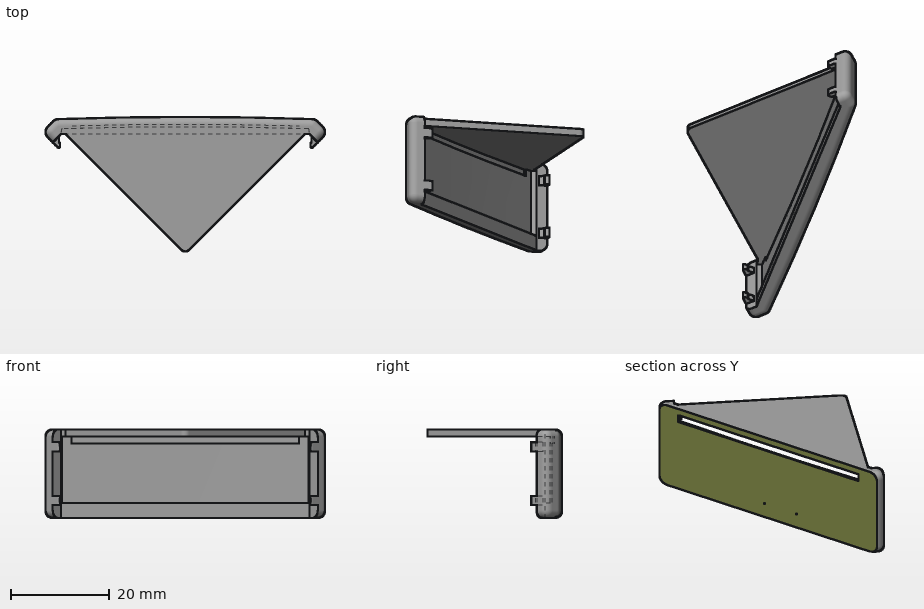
import cadquery as cq
import math

COS45 = math.sqrt(0.5)
SHARP_TIP_FACTOR = math.sqrt(2) - 1

TOTAL_WIDTH = 56.79
TOTAL_DEPTH = 27.37
HEIGHT = 18.0
EDGE_RADIUS = 1.5

BOW_RADIUS = 740.0
WALL_DEPTH = 3.53

WING_CORNER_X = TOTAL_WIDTH / 2 + EDGE_RADIUS * SHARP_TIP_FACTOR
WING_CORNER_Y = -3.09
WING_LENGTH = 2.99
WING_FACE_WIDTH = 2.36
WING_END_X = WING_CORNER_X - WING_LENGTH * COS45
WING_END_Y = WING_CORNER_Y - WING_LENGTH * COS45
WING_INNER_X = WING_END_X - WING_FACE_WIDTH * COS45

PLATE_THICKNESS = 1.5
PLATE_TIP_RADIUS = 1.1
PLATE_OVERLAP = 1.0

POCKET_BOTTOM = 3.0
POCKET_TOP = HEIGHT - PLATE_THICKNESS
POCKET_FLOOR_DEPTH = 2.0
POCKET_MOUTH_HALF_WIDTH = 25.25
POCKET_FLOOR_HALF_WIDTH = 25.05

GROOVE_HALF_WIDTH = 23.05
GROOVE_HEIGHT = 1.4
GROOVE_FLOOR_DEPTH = 1.5

HOOK_HEIGHT = 1.9
HOOK_SPACING = 10.9
HOOK_ROOT_X = 25.63
HOOK_BARB_X = 25.42
HOOK_BARB_START_Y = -5.1
HOOK_BARB_END_Y = -5.4
HOOK_TIP_RADIUS = 0.28
HOOK_OVERLAP = 0.3


def bow_y(x, depth=0.0):
    """Y at `x` of the bowed surface lying `depth` behind the outer face."""
    return math.sqrt((BOW_RADIUS - depth) ** 2 - x**2) - BOW_RADIUS


def bow_end():
    """Sharp corner (x, y) where the bowed face meets the wing's 45 degree outer face."""
    line_offset = BOW_RADIUS + WING_CORNER_X + WING_CORNER_Y
    x = (line_offset - math.sqrt(2 * BOW_RADIUS**2 - line_offset**2)) / 2
    return x, bow_y(x)


def round_outer_edges(body, end_x, end_y):
    """Round the upright outer corners and the top and bottom outer edges."""
    edge_points = [(0, 0, 0), (0, 0, HEIGHT)]
    for side in (-1, 1):
        edge_points.append((side * end_x, end_y, HEIGHT / 2))
        edge_points.append((side * WING_CORNER_X, WING_CORNER_Y, HEIGHT / 2))
        for z in (0, HEIGHT):
            for x, y in ((end_x, end_y), (WING_END_X, WING_END_Y)):
                edge_points.append((side * (x + WING_CORNER_X) / 2, (y + WING_CORNER_Y) / 2, z))
    outer_edges = [body.edges(cq.selectors.NearestToPointSelector(point)).val() for point in edge_points]
    return body.newObject(outer_edges).fillet(EDGE_RADIUS)


def make_wall():
    """Solid bowed wall with its two wings."""
    end_x, end_y = bow_end()
    body = (
        cq.Workplane("XY")
        .moveTo(-end_x, end_y)
        .threePointArc((0, 0), (end_x, end_y))
        .lineTo(WING_CORNER_X, WING_CORNER_Y)
        .lineTo(WING_END_X, WING_END_Y)
        .lineTo(WING_INNER_X, -WALL_DEPTH)
        .lineTo(-WING_INNER_X, -WALL_DEPTH)
        .lineTo(-WING_END_X, WING_END_Y)
        .lineTo(-WING_CORNER_X, WING_CORNER_Y)
        .close()
        .extrude(HEIGHT)
    )
    return round_outer_edges(body, end_x, end_y)


def make_plate():
    """Right-angled triangular plate with a rounded tip, overlapping into the wall."""
    apex_y = -TOTAL_DEPTH - PLATE_TIP_RADIUS * SHARP_TIP_FACTOR
    base_half = -WALL_DEPTH - apex_y
    back_y = -WALL_DEPTH + PLATE_OVERLAP
    plate = (
        cq.Workplane("XY", origin=(0, 0, POCKET_TOP))
        .moveTo(-base_half, back_y)
        .lineTo(-base_half, -WALL_DEPTH)
        .lineTo(0, apex_y)
        .lineTo(base_half, -WALL_DEPTH)
        .lineTo(base_half, back_y)
        .close()
        .extrude(PLATE_THICKNESS)
    )
    return plate.edges("|Z and <Y").fillet(PLATE_TIP_RADIUS)


def make_recess(mouth_half, floor_half, floor_depth, bottom):
    """Cutter from the wall's inner side to a floor parallel to the bowed face, up to the plate."""
    floor_y = bow_y(floor_half, floor_depth)
    return (
        cq.Workplane("XY", origin=(0, 0, bottom))
        .moveTo(-mouth_half, -WALL_DEPTH)
        .lineTo(-floor_half, floor_y)
        .threePointArc((0, -floor_depth), (floor_half, floor_y))
        .lineTo(mouth_half, -WALL_DEPTH)
        .close()
        .extrude(POCKET_TOP - bottom)
    )


def make_hook(side, middle_z):
    """Barbed snap hook on the end of one wing; side is -1 or 1."""
    root_y = WING_END_Y + WING_END_X - HOOK_ROOT_X
    tip_y = WING_END_Y - (WING_END_X - HOOK_BARB_X)
    outline = [
        (WING_END_X + HOOK_OVERLAP, WING_END_Y + HOOK_OVERLAP),
        (HOOK_BARB_X, tip_y),
        (HOOK_BARB_X, HOOK_BARB_END_Y),
        (HOOK_ROOT_X, HOOK_BARB_START_Y),
        (HOOK_ROOT_X, root_y),
        (HOOK_ROOT_X + HOOK_OVERLAP, root_y + HOOK_OVERLAP),
    ]
    hook = (
        cq.Workplane("XY", origin=(0, 0, middle_z - HOOK_HEIGHT / 2))
        .polyline([(side * x, y) for x, y in outline])
        .close()
        .extrude(HOOK_HEIGHT)
    )
    return hook.edges("|Z and <Y").fillet(HOOK_TIP_RADIUS)


pocket = make_recess(POCKET_MOUTH_HALF_WIDTH, POCKET_FLOOR_HALF_WIDTH, POCKET_FLOOR_DEPTH, POCKET_BOTTOM)
groove = make_recess(GROOVE_HALF_WIDTH, GROOVE_HALF_WIDTH, GROOVE_FLOOR_DEPTH, POCKET_TOP - GROOVE_HEIGHT)

result = make_wall().union(make_plate()).cut(pocket).cut(groove)
for hook_side in (-1, 1):
    for hook_level in (-1, 1):
        hook_z = (HEIGHT + hook_level * HOOK_SPACING) / 2
        result = result.union(make_hook(hook_side, hook_z))